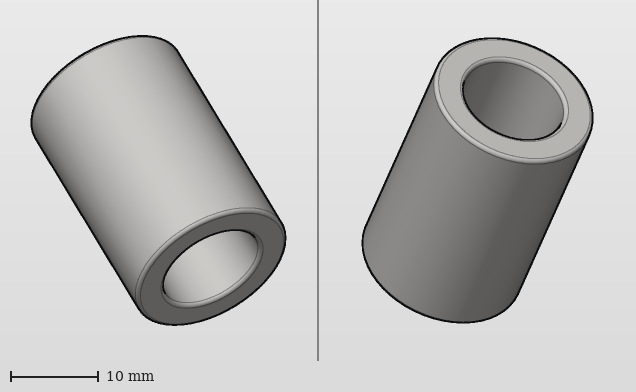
import cadquery as cq

length = 28.0
outer_diameter = 19.0
bore_diameter = 12.0
edge_radius = 0.45

sleeve = (
    cq.Workplane("YZ", origin=(-length / 2, 0, 0))
    .circle(outer_diameter / 2)
    .circle(bore_diameter / 2)
    .extrude(length)
)

result = sleeve.faces("<X or >X").edges().fillet(edge_radius)